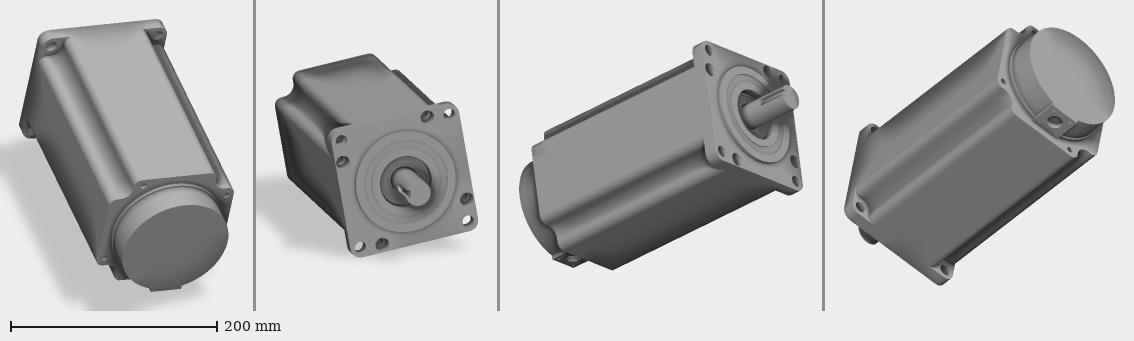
import cadquery as cq
import math


PILOT_FRONT = 45.8
FLANGE_FRONT = 49.5
FLANGE_BACK = 62.2
STATOR_FRONT = 74.0
STATOR_BACK = 247.0
REAR_CAP_BACK = 273.5
SPACER_BACK = 277.0
COVER_BACK = 303.5

TILT_ANGLE = -10.0
HALF_SIDE = 65.0
FLANGE_CORNER_RADIUS = 10.3
FLAT_HALF_WIDTH = 35.2
LOBE_RADIUS = 7.5
NOTCH_CENTER = 54.3

MOUNT_HOLE_OFFSET = 55.0
MOUNT_HOLE_DIAMETER = 11.5
BOLT_CIRCLE_RADIUS = 66.2
BOLT_FIRST_ANGLE = 30.0
BOLT_HEAD_DIAMETER = 13.7
BOLT_CLEARANCE_DIAMETER = 8.2
BOLT_THREAD_DIAMETER = 6.5

PILOT_RADIUS = 50.0
GROOVE_OUTER_RADIUS = 42.2
GROOVE_INNER_RADIUS = 33.7
GROOVE_DEPTH = 1.2
SEAL_RADIUS = 26.0
SEAL_FRONT = 52.8

SEAL_CHAMFER = 1.5
SEAL_GROOVE_OUTER_RADIUS = 22.5
SEAL_GROOVE_INNER_RADIUS = 15.8
SEAL_GROOVE_DEPTH = 1.0
SEAL_LIP_RADIUS = 14.0
SEAL_LIP_DEPTH = 3.0
SEAL_THICKNESS = 9.0

SHAFT_RADIUS = 12.5
SHAFT_SEAT_RADIUS = 12.0
SHAFT_SEAT_FRONT = 48.0
KEYWAY_WIDTH = 8.0
KEYWAY_LENGTH = 30.5
KEYWAY_FLOOR = 8.0

SPACER_RADIUS = 56.0
COVER_RADIUS = 54.3
CONNECTOR_WIDTH = 31.5
CONNECTOR_BOTTOM = 56.0
CONNECTOR_HEIGHT = 9.0
CONNECTOR_CENTER = (REAR_CAP_BACK + COVER_BACK) / 2
CABLE_HOLE_DIAMETER = 15.5
CONNECTOR_SCREW_DIAMETER = 2.7
CONNECTOR_SCREW_SPACING = 21.2
CONNECTOR_HOLE_DEPTH = 6.0


def section_at(x):
    """Plane across the motor axis at x, with Y to its right and Z up."""
    return cq.Workplane("YZ", origin=(x, 0, 0))


def disc(front, back, radius):
    """Round bar on the motor axis between two stations."""
    return section_at(front).circle(radius).extrude(back - front)


def ring(front, back, outer_radius, inner_radius):
    """Tube on the motor axis between two stations."""
    return section_at(front).circle(outer_radius).circle(inner_radius).extrude(back - front)


def tilt(body):
    """Turn a body about the motor axis to the tilt of the square sides."""
    return body.rotate((0, 0, 0), (1, 0, 0), TILT_ANGLE)


def notched_bar(front, back):
    """Square bar with a concave notch between two round lobes at every corner."""
    lobe_center = HALF_SIDE - LOBE_RADIUS
    lobe_edge = FLAT_HALF_WIDTH + LOBE_RADIUS
    lobe_bulge = LOBE_RADIUS * math.sqrt(0.5)
    notch_middle = NOTCH_CENTER - (NOTCH_CENTER - lobe_edge) * math.sqrt(0.5)

    def turned(y, z, quarter):
        for _ in range(quarter):
            y, z = -z, y
        return y, z

    outline = section_at(front).moveTo(HALF_SIDE, -FLAT_HALF_WIDTH)
    for quarter in range(4):
        outline = (
            outline.lineTo(*turned(HALF_SIDE, FLAT_HALF_WIDTH, quarter))
            .threePointArc(
                turned(lobe_center + lobe_bulge, FLAT_HALF_WIDTH + lobe_bulge, quarter),
                turned(lobe_center, lobe_edge, quarter),
            )
            .lineTo(*turned(NOTCH_CENTER, lobe_edge, quarter))
            .threePointArc(
                turned(notch_middle, notch_middle, quarter),
                turned(lobe_edge, NOTCH_CENTER, quarter),
            )
            .lineTo(*turned(lobe_edge, lobe_center, quarter))
            .threePointArc(
                turned(FLAT_HALF_WIDTH + lobe_bulge, lobe_center + lobe_bulge, quarter),
                turned(FLAT_HALF_WIDTH, HALF_SIDE, quarter),
            )
        )
    return outline.close().extrude(back - front)


def bolt_bores(front, back, diameter):
    """Bores on the four bolt axes between two stations."""
    return (
        section_at(front)
        .polarArray(BOLT_CIRCLE_RADIUS, BOLT_FIRST_ANGLE, 360, 4)
        .circle(diameter / 2)
        .extrude(back - front)
    )


def make_front_cap():
    """Mounting flange with pilot boss, seal pocket and bolt holes, and the notched neck behind it."""
    flange = (
        section_at(FLANGE_FRONT)
        .rect(2 * HALF_SIDE, 2 * HALF_SIDE)
        .extrude(FLANGE_BACK - FLANGE_FRONT)
        .edges("|X")
        .fillet(FLANGE_CORNER_RADIUS)
    )
    mount_holes = (
        section_at(FLANGE_FRONT)
        .rect(2 * MOUNT_HOLE_OFFSET, 2 * MOUNT_HOLE_OFFSET, forConstruction=True)
        .vertices()
        .circle(MOUNT_HOLE_DIAMETER / 2)
        .extrude(FLANGE_BACK - FLANGE_FRONT)
    )
    groove = ring(PILOT_FRONT, PILOT_FRONT + GROOVE_DEPTH, GROOVE_OUTER_RADIUS, GROOVE_INNER_RADIUS)
    cap = (
        flange.union(notched_bar(FLANGE_BACK, STATOR_FRONT))
        .union(disc(PILOT_FRONT, FLANGE_FRONT, PILOT_RADIUS))
        .cut(mount_holes)
        .cut(bolt_bores(FLANGE_FRONT, FLANGE_BACK, BOLT_HEAD_DIAMETER))
        .cut(bolt_bores(FLANGE_BACK, STATOR_FRONT, BOLT_CLEARANCE_DIAMETER))
        .cut(groove)
        .cut(disc(PILOT_FRONT, SEAL_FRONT + SEAL_THICKNESS, SEAL_RADIUS))
        .cut(disc(SEAL_FRONT, STATOR_FRONT, SHAFT_SEAT_RADIUS))
    )
    return tilt(cap)


def make_stator():
    """Notched housing around the shaft."""
    stator = (
        notched_bar(STATOR_FRONT, STATOR_BACK)
        .cut(bolt_bores(STATOR_FRONT, STATOR_BACK, BOLT_THREAD_DIAMETER))
        .cut(disc(STATOR_FRONT, STATOR_BACK, SHAFT_SEAT_RADIUS))
    )
    return tilt(stator)


def make_rear_cap():
    """Notched end cap that closes the stator."""
    bores = bolt_bores(STATOR_BACK, REAR_CAP_BACK, BOLT_THREAD_DIAMETER)
    return tilt(notched_bar(STATOR_BACK, REAR_CAP_BACK).cut(bores))


def connector_blank():
    """Plain connector block from the rear cap to the end of the cover."""
    underside = cq.Workplane("XY", origin=(CONNECTOR_CENTER, 0, -CONNECTOR_BOTTOM))
    return underside.rect(COVER_BACK - REAR_CAP_BACK, CONNECTOR_WIDTH).extrude(CONNECTOR_HEIGHT)


def make_spacer():
    """Flat disc between rear cap and cover, cut away where the connector passes."""
    return tilt(disc(REAR_CAP_BACK, SPACER_BACK, SPACER_RADIUS).cut(connector_blank()))


def make_cover():
    """Round rear cover with a recess for the connector."""
    return tilt(disc(SPACER_BACK, COVER_BACK, COVER_RADIUS).cut(connector_blank()))


def make_connector():
    """Connector block with a cable hole and four screw holes in its underside."""
    underside = cq.Workplane("XY", origin=(CONNECTOR_CENTER, 0, -CONNECTOR_BOTTOM))
    cable_hole = underside.circle(CABLE_HOLE_DIAMETER / 2).extrude(CONNECTOR_HOLE_DEPTH)
    screw_holes = (
        underside.rect(CONNECTOR_SCREW_SPACING, CONNECTOR_SCREW_SPACING, forConstruction=True)
        .vertices()
        .circle(CONNECTOR_SCREW_DIAMETER / 2)
        .extrude(CONNECTOR_HOLE_DEPTH)
    )
    return tilt(connector_blank().cut(cable_hole).cut(screw_holes))


def make_seal():
    """Shaft seal with chamfered rim, a shallow face groove and a conical lip around the shaft."""
    body = disc(SEAL_FRONT, SEAL_FRONT + SEAL_THICKNESS, SEAL_RADIUS).faces("<X").chamfer(SEAL_CHAMFER)
    groove = ring(
        SEAL_FRONT, SEAL_FRONT + SEAL_GROOVE_DEPTH, SEAL_GROOVE_OUTER_RADIUS, SEAL_GROOVE_INNER_RADIUS
    )
    lip = (
        section_at(SEAL_FRONT)
        .circle(SEAL_LIP_RADIUS)
        .workplane(offset=SEAL_LIP_DEPTH)
        .circle(SHAFT_SEAT_RADIUS)
        .loft()
    )
    bore = disc(SEAL_FRONT, SEAL_FRONT + SEAL_THICKNESS, SHAFT_SEAT_RADIUS)
    return body.cut(groove).cut(lip).cut(bore)


def make_shaft():
    """Output shaft with a slightly smaller seat inside the motor and a round-ended keyway on its +Y side."""
    shaft = disc(0, SHAFT_SEAT_FRONT, SHAFT_RADIUS).union(
        disc(SHAFT_SEAT_FRONT, STATOR_BACK, SHAFT_SEAT_RADIUS)
    )
    keyway = (
        cq.Workplane("XZ", origin=(0, KEYWAY_FLOOR, 0))
        .slot2D(2 * KEYWAY_LENGTH, KEYWAY_WIDTH)
        .extrude(-SHAFT_RADIUS)
    )
    return shaft.cut(keyway)


front_cap = make_front_cap()
stator = make_stator()
rear_cap = make_rear_cap()
spacer = make_spacer()
cover = make_cover()
connector = make_connector()
seal = make_seal()
shaft = make_shaft()

result = cq.Compound.makeCompound(
    [body.val() for body in (front_cap, stator, rear_cap, spacer, cover, connector, seal, shaft)]
)